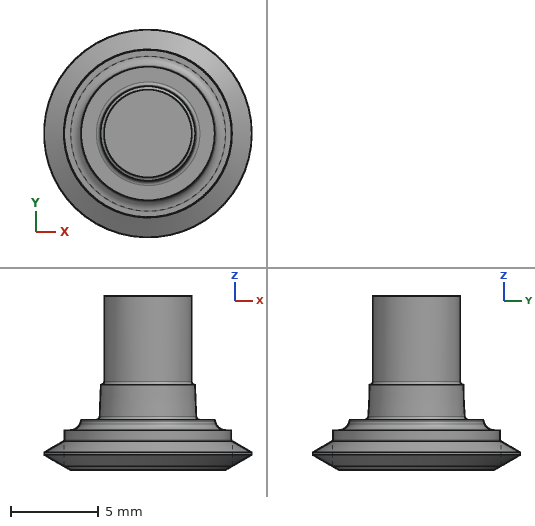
import cadquery as cq
import math

TOTAL_HEIGHT = 10.0
SHOULDER_HEIGHT = 4.91
FLANGE_TOP = 2.9
NECK_MIDDLE = 2.79
NECK_BOTTOM = 2.67
COLLAR_TOP = 2.3
RING_TOP = 1.67
RING_BOTTOM = 0.23

STEM_RADIUS = 2.52
ROOT_TOP_RADIUS = 2.71
ROOT_BOTTOM_RADIUS = 2.78
STEM_FILLET = 0.19
FLANGE_RADIUS = 3.83
NECK_MIDDLE_RADIUS = 3.87
NECK_BOTTOM_RADIUS = 3.9
NECK_FILLET_END_RADIUS = 4.45
COLLAR_FILLET = 0.07

RING_OUTER_RADIUS = 5.97
RING_EDGE_WIDTH = 0.13
CONE_ANGLE = math.radians(30)

ring_middle = (RING_TOP + RING_BOTTOM) / 2
edge_top = ring_middle + RING_EDGE_WIDTH / 2
edge_bottom = ring_middle - RING_EDGE_WIDTH / 2
seat_radius = RING_OUTER_RADIUS - (RING_TOP - edge_top) / math.tan(CONE_ANGLE)

base_radius = seat_radius - RING_BOTTOM / math.tan(CONE_ANGLE)

collar_fillet_tangent = COLLAR_FILLET * math.tan((math.pi / 2 - CONE_ANGLE) / 2)
collar_fillet_height = collar_fillet_tangent * (1 + math.sin(CONE_ANGLE))
collar_radius = seat_radius - collar_fillet_tangent * math.cos(CONE_ANGLE)


def revolve_about_z(profile):
    """Turn a closed radius-height profile into a solid around the Z axis."""
    return profile.close().revolve(360, (0, 0, 0), (0, 1, 0))


def make_core():
    """Stem, tapered root, flange, collar and ring seat as one turned body."""
    return revolve_about_z(
        cq.Workplane("XZ")
        .moveTo(0, 0)
        .lineTo(base_radius, 0)
        .lineTo(seat_radius, RING_BOTTOM)
        .lineTo(seat_radius, RING_TOP)
        .radiusArc((collar_radius, RING_TOP + collar_fillet_height), COLLAR_FILLET)
        .lineTo(collar_radius, COLLAR_TOP)
        .lineTo(NECK_FILLET_END_RADIUS, COLLAR_TOP)
        .tangentArcPoint((NECK_BOTTOM_RADIUS, NECK_BOTTOM), relative=False)
        .lineTo(NECK_MIDDLE_RADIUS, NECK_MIDDLE)
        .lineTo(FLANGE_RADIUS, FLANGE_TOP)
        .lineTo(ROOT_BOTTOM_RADIUS + STEM_FILLET, FLANGE_TOP)
        .radiusArc((ROOT_BOTTOM_RADIUS, FLANGE_TOP + STEM_FILLET), STEM_FILLET)
        .lineTo(ROOT_TOP_RADIUS, SHOULDER_HEIGHT)
        .radiusArc((STEM_RADIUS, SHOULDER_HEIGHT + STEM_FILLET), STEM_FILLET)
        .lineTo(STEM_RADIUS, TOTAL_HEIGHT)
        .lineTo(0, TOTAL_HEIGHT)
    )


def make_seal_ring():
    """Wedge-section ring fitted around the seat of the core."""
    return revolve_about_z(
        cq.Workplane("XZ")
        .moveTo(seat_radius, RING_BOTTOM)
        .lineTo(RING_OUTER_RADIUS, edge_bottom)
        .lineTo(RING_OUTER_RADIUS, edge_top)
        .lineTo(seat_radius, RING_TOP)
    )


core = make_core()
seal_ring = make_seal_ring()

result = cq.Compound.makeCompound([core.val(), seal_ring.val()])